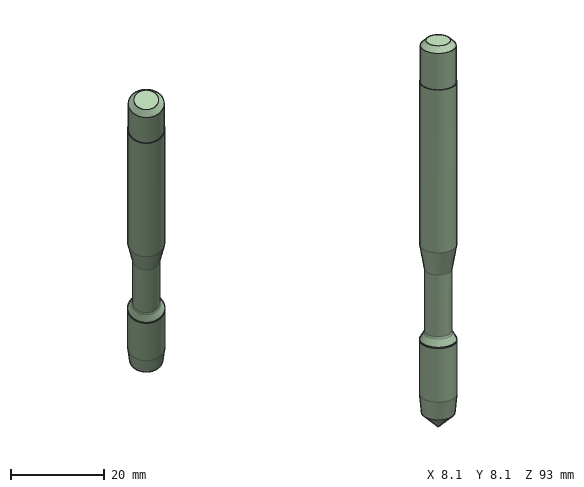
import cadquery as cq
import math


total_length = 93.0
top_z = total_length / 2
tip_z = -total_length / 2

drive_diameter = 7.7
drive_length = 9.95
drive_chamfer_height = 1.2
drive_chamfer_width = 1.2
shank_diameter = 8.0
shank_length = 39.15
taper_length = 5.9
neck_diameter = 5.95
shoulder_angle = math.radians(30)
neck_fillet_radius = 1.0
collar_length = 0.3

head_diameter = 8.1
head_length = 20.9
lead_diameter = 7.25
lead_length = 4.5
point_length = 3.5

shank_top_z = top_z - drive_length
shank_bottom_z = shank_top_z - shank_length
neck_top_z = shank_bottom_z - taper_length
joint_z = tip_z + head_length
shoulder_bottom_z = joint_z + collar_length
lead_bottom_z = tip_z + point_length
lead_top_z = lead_bottom_z + lead_length

drive_radius = drive_diameter / 2
shank_radius = shank_diameter / 2
neck_radius = neck_diameter / 2
head_radius = head_diameter / 2
lead_radius = lead_diameter / 2


def revolve_profile(profile):
    """Turn a closed radius-height profile a full turn around the Z axis."""
    return profile.close().revolve(360, (0, 0, 0), (0, 1, 0))


def make_holder():
    """Drive end, shank, taper, filleted neck, conical shoulder and collar."""
    fillet_center_r = neck_radius + neck_fillet_radius
    fillet_end_r = fillet_center_r - neck_fillet_radius * math.cos(shoulder_angle)
    fillet_end_z = shoulder_bottom_z + (shank_radius - fillet_end_r) / math.tan(shoulder_angle)
    fillet_start_z = fillet_end_z + neck_fillet_radius * math.sin(shoulder_angle)
    fillet_middle = (
        fillet_center_r - neck_fillet_radius * math.cos(shoulder_angle / 2),
        fillet_start_z - neck_fillet_radius * math.sin(shoulder_angle / 2),
    )
    profile = (
        cq.Workplane("XZ")
        .moveTo(0, top_z)
        .lineTo(drive_radius - drive_chamfer_width, top_z)
        .lineTo(drive_radius, top_z - drive_chamfer_height)
        .lineTo(drive_radius, shank_top_z)
        .lineTo(shank_radius, shank_top_z)
        .lineTo(shank_radius, shank_bottom_z)
        .lineTo(neck_radius, neck_top_z)
        .lineTo(neck_radius, fillet_start_z)
        .threePointArc(fillet_middle, (fillet_end_r, fillet_end_z))
        .lineTo(shank_radius, shoulder_bottom_z)
        .lineTo(shank_radius, joint_z)
        .lineTo(0, joint_z)
    )
    return revolve_profile(profile)


def make_cutting_head():
    """Cylindrical head with a tapered lead and a conical point."""
    profile = (
        cq.Workplane("XZ")
        .moveTo(0, joint_z)
        .lineTo(head_radius, joint_z)
        .lineTo(head_radius, lead_top_z)
        .lineTo(lead_radius, lead_bottom_z)
        .lineTo(0, tip_z)
    )
    return revolve_profile(profile)


holder = make_holder()
cutting_head = make_cutting_head()

result = cq.Compound.makeCompound([holder.val(), cutting_head.val()])